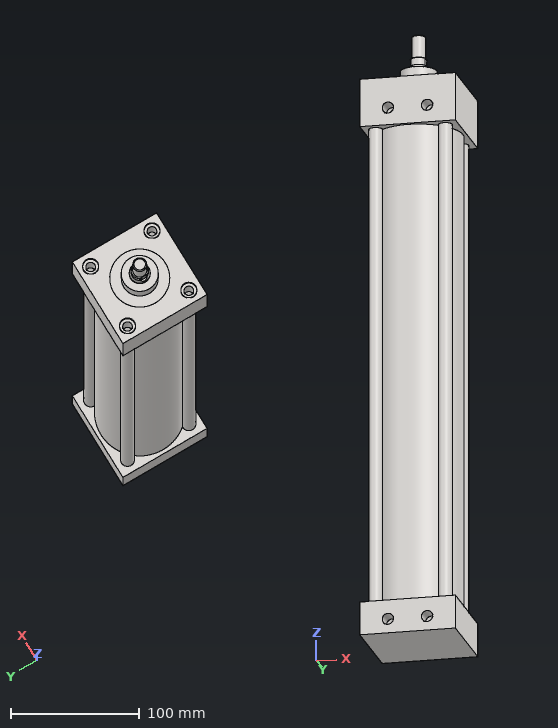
import cadquery as cq
import math

TOTAL_HEIGHT = 495.5

BLOCK_SIDE = 76.5
CAP_HEIGHT = 26.5
HEAD_HEIGHT = 38.5
HEAD_TOP = 451.5
HEAD_BOTTOM = HEAD_TOP - HEAD_HEIGHT

BARREL_DIAMETER = 70.5
TIE_ROD_DIAMETER = 11.0
TIE_ROD_SPACING = 55.5

GLAND_DIAMETER = 46.5
GLAND_RISE = 0.25
BOSS_DIAMETER = 28.5
BOSS_TOP = HEAD_TOP + 15.0

COUNTERBORE_DIAMETER = 12.5
COUNTERBORE_DEPTH = 2.5
MOUNT_HOLE_DIAMETER = 7.5
MOUNT_HOLE_DEPTH = 20.0

SIDE_HOLE_DIAMETER = 9.0
SIDE_HOLE_SPACING = 31.0
SIDE_HOLE_DEPTH = 15.0
HEAD_HOLE_Z = HEAD_BOTTOM + 14.0
CAP_HOLE_Z = 11.5

DRILL_POINT_ANGLE = 118.0

ROD_DIAMETER = 16.5
ROD_BOTTOM = HEAD_BOTTOM
ROD_TAPER_BOTTOM = 468.0
NECK_DIAMETER = 13.5
NECK_BOTTOM = 470.5
NECK_TOP = 476.5
STUD_DIAMETER = 11.0
STUD_CHAMFER = 1.0

FLAT_DIAMETER = 8.0
FLAT_Z = 473.0
WIDTH_ACROSS_FLATS = 11.5


def block(bottom, height):
    return cq.Workplane("XY", origin=(0, 0, bottom)).rect(BLOCK_SIDE, BLOCK_SIDE).extrude(height)


def cylinder(diameter, bottom, top):
    return cq.Workplane("XY", origin=(0, 0, bottom)).circle(diameter / 2).extrude(top - bottom)


def revolved(profile):
    """Solid of revolution about Z from (radius, z) points."""
    return cq.Workplane("XZ").polyline(profile).close().revolve(360, (0, 0), (0, 1))


def drilled_hole(diameter, depth):
    """Hole going down from z = 0 to a conical drill point."""
    radius = diameter / 2
    point_depth = radius / math.tan(math.radians(DRILL_POINT_ANGLE / 2))
    return revolved([(0, 0), (radius, 0), (radius, -depth), (0, -depth - point_depth)])


def mounting_hole():
    counterbore = cylinder(COUNTERBORE_DIAMETER, -COUNTERBORE_DEPTH, 0)
    return drilled_hole(MOUNT_HOLE_DIAMETER, MOUNT_HOLE_DEPTH).union(counterbore)


def side_hole():
    """Drilled hole turned to run along +Y from y = 0."""
    return drilled_hole(SIDE_HOLE_DIAMETER, SIDE_HOLE_DEPTH).rotate((0, 0, 0), (1, 0, 0), 90)


def make_housing():
    housing = block(0, CAP_HEIGHT).union(block(HEAD_BOTTOM, HEAD_HEIGHT))
    housing = housing.union(cylinder(BARREL_DIAMETER, CAP_HEIGHT, HEAD_BOTTOM))
    housing = housing.union(cylinder(GLAND_DIAMETER, HEAD_TOP, HEAD_TOP + GLAND_RISE))
    housing = housing.union(cylinder(BOSS_DIAMETER, HEAD_TOP, BOSS_TOP))

    half_spacing = TIE_ROD_SPACING / 2
    for x in (-half_spacing, half_spacing):
        for y in (-half_spacing, half_spacing):
            tie_rod = cylinder(TIE_ROD_DIAMETER, CAP_HEIGHT, HEAD_BOTTOM)
            housing = housing.union(tie_rod.translate((x, y, 0)))
            housing = housing.cut(mounting_hole().translate((x, y, HEAD_TOP)))

    for z in (CAP_HOLE_Z, HEAD_HOLE_Z):
        for x in (-SIDE_HOLE_SPACING / 2, SIDE_HOLE_SPACING / 2):
            housing = housing.cut(side_hole().translate((x, -BLOCK_SIDE / 2, z)))

    rod_bore = cylinder(ROD_DIAMETER, ROD_BOTTOM, BOSS_TOP)
    return housing.cut(rod_bore)


def neck_flat_cutter():
    """Round cutter that leaves the flat on the +X side of the neck."""
    flat_plane = cq.Workplane("YZ", origin=(WIDTH_ACROSS_FLATS / 2, 0, FLAT_Z))
    return flat_plane.circle(FLAT_DIAMETER / 2).extrude(ROD_DIAMETER / 2)


def make_rod():
    rod = revolved([
        (0, ROD_BOTTOM),
        (ROD_DIAMETER / 2, ROD_BOTTOM),
        (ROD_DIAMETER / 2, ROD_TAPER_BOTTOM),
        (NECK_DIAMETER / 2, NECK_BOTTOM),
        (NECK_DIAMETER / 2, NECK_TOP),
        (STUD_DIAMETER / 2, NECK_TOP),
        (STUD_DIAMETER / 2, TOTAL_HEIGHT - STUD_CHAMFER),
        (STUD_DIAMETER / 2 - STUD_CHAMFER, TOTAL_HEIGHT),
        (0, TOTAL_HEIGHT),
    ])
    for turn in (0, 180):
        rod = rod.cut(neck_flat_cutter().rotate((0, 0, 0), (0, 0, 1), turn))
    return rod


housing = make_housing()
rod = make_rod()
result = cq.Compound.makeCompound([housing.solids().val(), rod.solids().val()])